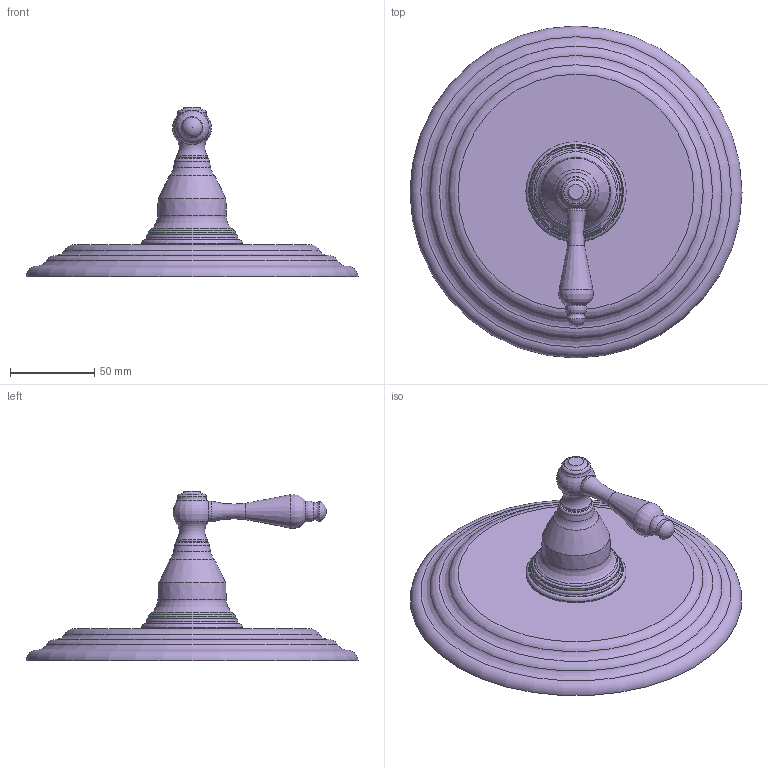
import cadquery as cq
import math


INCH = 25.4
plate_radius = 3.875 * INCH
plate_height = 0.75 * INCH
plate_flat_radius = 2.75 * INCH
rim_round = 0.25 * INCH
plate_curves = 4
curve_run = (plate_radius - rim_round - plate_flat_radius) / plate_curves
curve_rise = (plate_height - rim_round) / plate_curves

foot_radius = 29.7
foot_band_top = plate_height + 0.6
foot_bead_radius, foot_bead_top = 28.1, 22.1
cove_radius, cove_bottom = 27.6, 22.1
cove_top_radius, cove_top = 27.1, 23.2
lower_bead_radius, lower_bead_top = 26.3, 25.1
band_radius, band_top = 25.9, 26.2
upper_bead_radius, upper_bead_top = 24.8, 27.4
flare_radius, flare_bottom = 23.9, 28.6

bell_bottom_radius, bell_bottom = 20.4, 36.3
bell_top_radius, bell_top = 19.9, 46.2
shoulder_radius, shoulder_z = 13.3, 60.0
neck_radius, neck_z = 11.0, 64.7
collar_radius, collar_z = 10.3, 68.3
body_top_radius, body_top = 9.4, 70.2

joint_radius = 6.0
joint_gap = 0.5

handle_axis_z = 88.6
stem_base_radius = 9.1
stem_base_bottom = body_top + joint_gap
stem_base_top = 71.9
ball_bottom_radius, ball_bottom = 9.8, 82.4
ball_top_radius, ball_top = 8.9, 95.1
cap_radius, cap_bottom = 8.6, 97.4
cap_ledge_radius, cap_ledge_z = 7.2, 98.9
dish_radius = 6.8
button_radius = 4.4
overall_height = 100.67

handle_root = 6.0
handle_neck_radius, handle_collar_start = 5.8, 9.7
handle_collar_radius, handle_collar_end = 6.2, 11.3
grip_start_radius, grip_start = 4.9, 31.8
grip_end_radius, grip_end = 10.0, 58.2
bulb_end_radius, bulb_end = 5.9, 67.2
bead_end_radius, bead_end = 5.2, 72.0
tip_radius, tip_start = 6.1, 75.4
handle_length = 79.7

small_bulge = 0.3
foot_bead_bulge = 0.55
cove_bulge = -0.15
flare_bulge = -1.1
bell_bulge = 0.25
shoulder_bulge = 0.3
neck_bulge = -0.3
stem_bulge = -1.9
ball_bulge = 2.2
cap_groove_bulge = -0.3
dish_bulge = -0.3
grip_waist_bulge = -1.1
bulb_bulge = 1.8
bead_bulge = 0.75
tip_neck_bulge = -0.6


def chord_bulge(arc_radius, chord):
    """Bulge of an arc of the given radius over the given chord."""
    return arc_radius - math.sqrt(arc_radius**2 - chord**2 / 4)


def turned(start_height, segments):
    """Revolve a profile about Z; each segment is (end radius, end height, bulge)."""
    profile = cq.Workplane("XZ").moveTo(0, start_height)
    for radius, height, bulge in segments:
        if bulge == 0:
            profile = profile.lineTo(radius, height)
        else:
            profile = profile.sagittaArc((radius, height), -bulge)
    return profile.close().revolve(360, (0, 0, 0), (0, 1, 0))


def make_plate():
    """Solid plate with a rounded rim and alternating hollow and round steps."""
    rim_bulge = chord_bulge(rim_round, rim_round * math.sqrt(2))
    curve_chord = math.hypot(curve_run, curve_rise)
    curve_bulge = chord_bulge(curve_chord**2 / (2 * curve_rise), curve_chord)
    segments = [
        (plate_radius, 0, 0),
        (plate_radius - rim_round, rim_round, rim_bulge),
    ]
    for i in range(plate_curves):
        radius = plate_radius - rim_round - (i + 1) * curve_run
        height = rim_round + (i + 1) * curve_rise
        direction = -1 if i % 2 == 0 else 1
        segments.append((radius, height, direction * curve_bulge))
    segments.append((0, plate_height, 0))
    return turned(0, segments)


def make_body():
    """Bell body on its moulded foot, with the joint pin reaching into the lever."""
    return turned(0, [
        (foot_radius, 0, 0),
        (foot_radius, foot_band_top, 0),
        (foot_bead_radius, foot_bead_top, foot_bead_bulge),
        (cove_radius, cove_bottom, 0),
        (cove_top_radius, cove_top, cove_bulge),
        (lower_bead_radius, lower_bead_top, small_bulge),
        (band_radius, lower_bead_top, 0),
        (band_radius, band_top, 0),
        (upper_bead_radius, upper_bead_top, small_bulge),
        (flare_radius, flare_bottom, small_bulge),
        (bell_bottom_radius, bell_bottom, flare_bulge),
        (bell_top_radius, bell_top, bell_bulge),
        (shoulder_radius, shoulder_z, shoulder_bulge),
        (neck_radius, neck_z, neck_bulge),
        (collar_radius, collar_z, 0),
        (body_top_radius, body_top, small_bulge),
        (joint_radius, body_top, 0),
        (joint_radius, stem_base_top, 0),
        (0, stem_base_top, 0),
    ])


def make_lever_head():
    """Waisted stem, ball and button-topped cap of the lever."""
    return turned(stem_base_bottom, [
        (stem_base_radius, stem_base_bottom, 0),
        (stem_base_radius, stem_base_top, 0),
        (ball_bottom_radius, ball_bottom, stem_bulge),
        (ball_top_radius, ball_top, ball_bulge),
        (cap_radius, cap_bottom, cap_groove_bulge),
        (cap_ledge_radius, cap_ledge_z, small_bulge),
        (dish_radius, cap_ledge_z, 0),
        (button_radius, overall_height, dish_bulge),
        (0, overall_height, 0),
    ])


def make_handle():
    """Turned handle, laid along -Y at the height of the ball."""
    tip_reach = handle_length - tip_start
    tip_chord = math.hypot(tip_radius, tip_reach)
    tip_bulge = chord_bulge(tip_chord**2 / (2 * tip_reach), tip_chord)
    handle = turned(handle_root, [
        (handle_neck_radius, handle_root, 0),
        (handle_neck_radius, handle_collar_start, 0),
        (handle_collar_radius, handle_collar_start, 0),
        (handle_collar_radius, handle_collar_end, 0),
        (grip_start_radius, grip_start, grip_waist_bulge),
        (grip_end_radius, grip_end, 0),
        (bulb_end_radius, bulb_end, bulb_bulge),
        (bead_end_radius, bead_end, bead_bulge),
        (tip_radius, tip_start, tip_neck_bulge),
        (0, handle_length, tip_bulge),
    ])
    return handle.rotate((0, 0, 0), (1, 0, 0), 90).translate((0, 0, handle_axis_z))


result = make_plate().union(make_body()).union(make_lever_head()).union(make_handle())